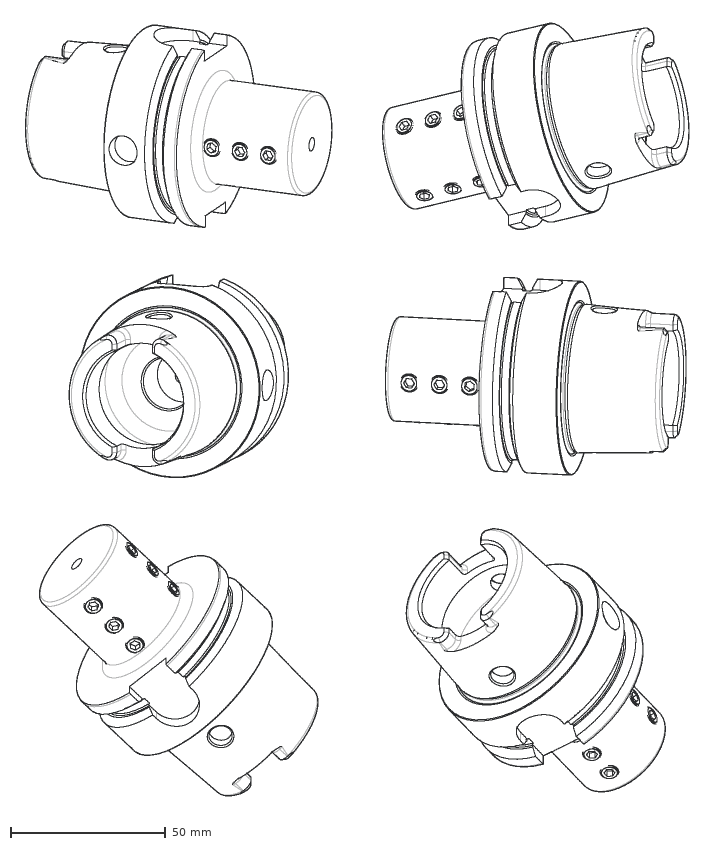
import cadquery as cq
import math

TOTAL_LENGTH = 91.9

TAPER_START_RADIUS = 22.8
TAPER_END_RADIUS = 24.2
TAPER_LENGTH = 30.0
SHANK_END_ROUNDING = 1.2
RELIEF_RADIUS = 23.8
RELIEF_START = 30.9
RELIEF_FILLET = 0.7

BORE_RADIUS = 17.0
BORE_DEPTH = 29.8
BORE_CONE_START = 12.9
BORE_CONE_LENGTH = 1.7
BORE_UNDERCUT_RADIUS = 19.9
BORE_FLOOR_FILLET = 4.2
BORE_MOUTH_CHAMFER = 0.6
BORE_MOUTH_CHAMFER_LENGTH = 1.4
COOLANT_BORE_RADIUS = 8.5
COOLANT_BORE_DEPTH = 12.9
COOLANT_BORE_CHAMFER = 0.55
THROUGH_HOLE_RADIUS = 2.2

SLOT_HALF_WIDTH = 6.2
SLOT_SHELF_HEIGHT = 20.7
SLOT_EDGE_RADIUS = 2.8
SLOT_SHELF_SLOPE = 15.0
SLOT_FLOOR_FILLET = 1.3
UPPER_SLOT_DEPTH = 10.0
LOWER_SLOT_DEPTH = 6.2

ACCESS_HOLE_X = 22.7
ACCESS_HOLE_RADIUS = 3.8
ACCESS_HOLE_CHAMFER = 0.55

FLANGE_START = 32.0
FACE_RECESS_DEPTH = 0.3
FACE_RECESS_FLOOR = FLANGE_START + FACE_RECESS_DEPTH
FACE_RECESS_FLOOR_RADIUS = 24.7
FACE_RECESS_RADIUS = 25.3
FLANGE_END = 57.8
FLANGE_RADIUS = 31.5
FLANGE_FRONT_CHAMFER = 0.3
FLANGE_BACK_CHAMFER_LENGTH = 0.6
FLANGE_BACK_CHAMFER_DEPTH = 0.2
GROOVE_START = 46.6
GROOVE_END = 53.3
GROOVE_FLANK_WIDTH = 1.7
GROOVE_FLANK_RADIUS = 28.7
GROOVE_LIP_RADIUS = 27.9
GROOVE_FLOOR_STEP = 0.5
GROOVE_FLOOR_RADIUS = 27.5

KEYWAY_START = 36.8
KEYWAY_FLOOR_HEIGHT = 26.5
UPPER_KEYWAY_WIDTH = 18.0
LOWER_KEYWAY_WIDTH = 16.0

CHIP_HOLE_X = 39.0
CHIP_HOLE_RADIUS = 5.0
CHIP_HOLE_DEPTH = 4.6

HUB_RADIUS = 17.0
HUB_ROOT_FILLET = 2.9
HUB_END_FILLET = 1.0

SCREW_PITCH = 10.0
SCREW_END_DISTANCE = 8.0
SCREWS_PER_ROW = 3
SCREW_RADIUS = 3.0
SCREW_CHAMFER = 0.5
SCREW_LENGTH = 7.0
SOCKET_FLATS = 3.0
SOCKET_DEPTH = 2.5
INNER_SOCKET_TURN = 23.0
ROW_ANGLES = (0, 90, 180)

CUT_MARGIN = 4.6


def make_turned_shank():
    """Shank taper, plain, without bore and slots."""
    return (
        cq.Workplane("XY")
        .moveTo(0, 0)
        .lineTo(0, TAPER_START_RADIUS - SHANK_END_ROUNDING)
        .radiusArc((SHANK_END_ROUNDING, TAPER_START_RADIUS), SHANK_END_ROUNDING)
        .lineTo(TAPER_LENGTH, TAPER_END_RADIUS)
        .lineTo(RELIEF_START, RELIEF_RADIUS)
        .lineTo(FACE_RECESS_FLOOR - RELIEF_FILLET, RELIEF_RADIUS)
        .radiusArc((FACE_RECESS_FLOOR, RELIEF_RADIUS + RELIEF_FILLET), -RELIEF_FILLET)
        .lineTo(FACE_RECESS_FLOOR, 0)
        .close()
        .revolve(360, (0, 0, 0), (1, 0, 0))
    )


def slot_outline(start):
    """Upper drive slot: a straight throat that rounds over onto shelves falling outward."""
    slope = math.radians(SLOT_SHELF_SLOPE)
    round_y = SLOT_HALF_WIDTH + SLOT_EDGE_RADIUS
    round_z = SLOT_SHELF_HEIGHT - SLOT_EDGE_RADIUS

    def round_point(angle):
        """Point on the rounded edge, angle measured from the slot wall."""
        y = round_y - SLOT_EDGE_RADIUS * math.cos(angle)
        return y, round_z + SLOT_EDGE_RADIUS * math.sin(angle)

    shelf_start = round_point(math.pi / 2 + slope)
    arc_middle = round_point(math.pi / 4 + slope / 2)
    outer_y = TAPER_END_RADIUS
    outer_z = shelf_start[1] - (outer_y - shelf_start[0]) * math.tan(slope)
    throat_bottom = BORE_RADIUS / 2
    return (
        cq.Workplane("YZ", origin=(start, 0, 0))
        .moveTo(0, throat_bottom)
        .lineTo(SLOT_HALF_WIDTH, throat_bottom)
        .lineTo(SLOT_HALF_WIDTH, round_z)
        .threePointArc(arc_middle, shelf_start)
        .lineTo(outer_y, outer_z)
        .lineTo(outer_y, TAPER_END_RADIUS + CUT_MARGIN)
        .lineTo(0, TAPER_END_RADIUS + CUT_MARGIN)
        .mirrorY()
    )


def make_slot_cutter(depth):
    """Slot with a rounded floor edge and a 45 degree flare at the shank end."""
    slot = slot_outline(-CUT_MARGIN).extrude(depth + CUT_MARGIN)
    slot = slot.faces(">X").edges().fillet(SLOT_FLOOR_FILLET)
    flare = slot_outline(SHANK_END_ROUNDING).extrude(-SHANK_END_ROUNDING, taper=-45)
    return slot.union(flare)


def make_slotted_shank():
    shank = make_turned_shank()
    shank = shank.cut(make_slot_cutter(UPPER_SLOT_DEPTH))
    lower_cutter = make_slot_cutter(LOWER_SLOT_DEPTH).rotate((0, 0, 0), (1, 0, 0), 180)
    return shank.cut(lower_cutter)


def drill_access_hole(shank):
    """Drill across the shank along Z and chamfer both mouths."""
    reach = TAPER_END_RADIUS + CUT_MARGIN
    drill = (
        cq.Workplane("XY", origin=(ACCESS_HOLE_X, 0, -reach))
        .circle(ACCESS_HOLE_RADIUS)
        .extrude(2 * reach)
    )
    half_box = 1.2 * ACCESS_HOLE_RADIUS
    around_hole = cq.selectors.BoxSelector(
        (ACCESS_HOLE_X - half_box, -half_box, -reach),
        (ACCESS_HOLE_X + half_box, half_box, reach),
        boundingbox=True,
    )
    on_hole = cq.selectors.TypeSelector("LINE")
    mouths = cq.selectors.SubtractSelector(around_hole, on_hole)
    return shank.cut(drill).edges(mouths).chamfer(ACCESS_HOLE_CHAMFER)


def make_flange():
    flank_start = GROOVE_START + GROOVE_FLANK_WIDTH
    flank_end = GROOVE_END - GROOVE_FLANK_WIDTH
    return (
        cq.Workplane("XY")
        .moveTo(FACE_RECESS_FLOOR, 0)
        .lineTo(FACE_RECESS_FLOOR, FACE_RECESS_FLOOR_RADIUS)
        .lineTo(FLANGE_START, FACE_RECESS_RADIUS)
        .lineTo(FLANGE_START, FLANGE_RADIUS - FLANGE_FRONT_CHAMFER)
        .lineTo(FLANGE_START + FLANGE_FRONT_CHAMFER, FLANGE_RADIUS)
        .lineTo(GROOVE_START, FLANGE_RADIUS)
        .lineTo(flank_start, GROOVE_FLANK_RADIUS)
        .lineTo(flank_start, GROOVE_LIP_RADIUS)
        .lineTo(flank_start + GROOVE_FLOOR_STEP, GROOVE_FLOOR_RADIUS)
        .lineTo(flank_end - GROOVE_FLOOR_STEP, GROOVE_FLOOR_RADIUS)
        .lineTo(flank_end, GROOVE_LIP_RADIUS)
        .lineTo(flank_end, GROOVE_FLANK_RADIUS)
        .lineTo(GROOVE_END, FLANGE_RADIUS)
        .lineTo(FLANGE_END - FLANGE_BACK_CHAMFER_LENGTH, FLANGE_RADIUS)
        .lineTo(FLANGE_END, FLANGE_RADIUS - FLANGE_BACK_CHAMFER_DEPTH)
        .lineTo(FLANGE_END, 0)
        .close()
        .revolve(360, (0, 0, 0), (1, 0, 0))
    )


def make_hub():
    root_end = FLANGE_END + HUB_ROOT_FILLET
    return (
        cq.Workplane("XY")
        .moveTo(FLANGE_END, 0)
        .lineTo(FLANGE_END, HUB_RADIUS + HUB_ROOT_FILLET)
        .radiusArc((root_end, HUB_RADIUS), -HUB_ROOT_FILLET)
        .lineTo(TOTAL_LENGTH - HUB_END_FILLET, HUB_RADIUS)
        .radiusArc((TOTAL_LENGTH, HUB_RADIUS - HUB_END_FILLET), HUB_END_FILLET)
        .lineTo(TOTAL_LENGTH, 0)
        .close()
        .revolve(360, (0, 0, 0), (1, 0, 0))
    )


def make_bore_cutter():
    """Shank bore, coolant bore and the small hole along the whole axis."""
    coolant_end = BORE_DEPTH + COOLANT_BORE_DEPTH
    coolant_mouth_radius = COOLANT_BORE_RADIUS + COOLANT_BORE_CHAMFER
    return (
        cq.Workplane("XY")
        .moveTo(0, 0)
        .lineTo(0, BORE_RADIUS + BORE_MOUTH_CHAMFER)
        .lineTo(BORE_MOUTH_CHAMFER_LENGTH, BORE_RADIUS)
        .lineTo(BORE_CONE_START, BORE_RADIUS)
        .lineTo(BORE_CONE_START + BORE_CONE_LENGTH, BORE_UNDERCUT_RADIUS)
        .lineTo(BORE_DEPTH - BORE_FLOOR_FILLET, BORE_UNDERCUT_RADIUS)
        .radiusArc((BORE_DEPTH, BORE_UNDERCUT_RADIUS - BORE_FLOOR_FILLET), BORE_FLOOR_FILLET)
        .lineTo(BORE_DEPTH, coolant_mouth_radius)
        .lineTo(BORE_DEPTH + COOLANT_BORE_CHAMFER, COOLANT_BORE_RADIUS)
        .lineTo(coolant_end, COOLANT_BORE_RADIUS)
        .lineTo(coolant_end, THROUGH_HOLE_RADIUS)
        .lineTo(TOTAL_LENGTH, THROUGH_HOLE_RADIUS)
        .lineTo(TOTAL_LENGTH, 0)
        .close()
        .revolve(360, (0, 0, 0), (1, 0, 0))
    )


def make_keyway_cutter(width):
    """Round-ended slot above the keyway floor, open toward the hub."""
    half = width / 2
    round_centre = KEYWAY_START + half
    return (
        cq.Workplane("XY", origin=(0, 0, KEYWAY_FLOOR_HEIGHT))
        .moveTo(FLANGE_END + CUT_MARGIN, -half)
        .lineTo(round_centre, -half)
        .threePointArc((KEYWAY_START, 0), (round_centre, half))
        .lineTo(FLANGE_END + CUT_MARGIN, half)
        .close()
        .extrude(FLANGE_RADIUS)
    )


def make_chip_hole_cutter():
    return (
        cq.Workplane("XZ", origin=(CHIP_HOLE_X, -FLANGE_RADIUS + CHIP_HOLE_DEPTH, 0))
        .circle(CHIP_HOLE_RADIUS)
        .extrude(CHIP_HOLE_DEPTH + CUT_MARGIN)
    )


def make_screw_blank(extra_height):
    """Chamfered cylinder along -Y, its outer face at the hub radius, plus a prolongation."""
    face_radius = SCREW_RADIUS - SCREW_CHAMFER
    inner_end = -HUB_RADIUS + SCREW_LENGTH
    return (
        cq.Workplane("XY")
        .moveTo(0, inner_end)
        .lineTo(SCREW_RADIUS, inner_end)
        .lineTo(SCREW_RADIUS, -HUB_RADIUS + SCREW_CHAMFER)
        .lineTo(face_radius, -HUB_RADIUS)
        .lineTo(face_radius, -HUB_RADIUS - extra_height)
        .lineTo(0, -HUB_RADIUS - extra_height)
        .close()
        .revolve(360, (0, 0, 0), (0, 1, 0))
    )


def make_set_screw(socket_turn):
    blank = (
        cq.Workplane("XZ", origin=(0, -HUB_RADIUS + SCREW_LENGTH, 0))
        .circle(SCREW_RADIUS)
        .extrude(SCREW_LENGTH)
        .faces("<Y")
        .chamfer(SCREW_CHAMFER)
    )
    socket = (
        cq.Workplane("XZ", origin=(0, -HUB_RADIUS + SOCKET_DEPTH, 0))
        .transformed(rotate=(0, 0, socket_turn))
        .polygon(6, SOCKET_FLATS / math.cos(math.pi / 6))
        .extrude(SOCKET_DEPTH + CUT_MARGIN)
    )
    return blank.cut(socket)


def place_on_hub(body, index, row_angle):
    """Move a body to one screw position; index 0 is the screw nearest the flange."""
    x = TOTAL_LENGTH - SCREW_END_DISTANCE - (SCREWS_PER_ROW - 1 - index) * SCREW_PITCH
    return body.translate((x, 0, 0)).rotate((0, 0, 0), (1, 0, 0), row_angle)


def make_housing():
    housing = drill_access_hole(make_slotted_shank()).union(make_flange()).union(make_hub())
    housing = housing.cut(make_bore_cutter())
    housing = housing.cut(make_keyway_cutter(UPPER_KEYWAY_WIDTH))
    lower_keyway = make_keyway_cutter(LOWER_KEYWAY_WIDTH).rotate((0, 0, 0), (1, 0, 0), 180)
    housing = housing.cut(lower_keyway)
    housing = housing.cut(make_chip_hole_cutter())
    seat = make_screw_blank(CUT_MARGIN)
    for row_angle in ROW_ANGLES:
        for index in range(SCREWS_PER_ROW):
            housing = housing.cut(place_on_hub(seat, index, row_angle))
    return housing


def make_set_screws():
    screws = []
    for row_angle in ROW_ANGLES:
        for index in range(SCREWS_PER_ROW):
            socket_turn = INNER_SOCKET_TURN if index == 0 else 0
            screws.append(place_on_hub(make_set_screw(socket_turn), index, row_angle))
    return screws


housing = make_housing()
set_screws = make_set_screws()
result = cq.Compound.makeCompound([housing.val(), *[screw.val() for screw in set_screws]])